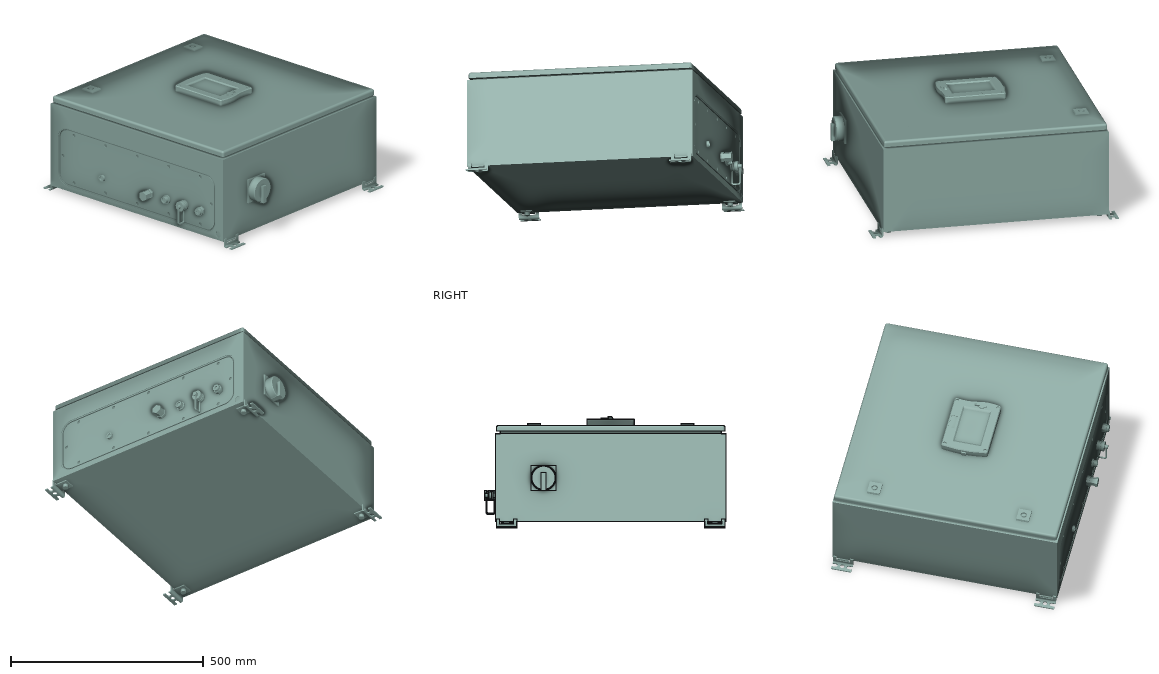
import cadquery as cq

BODY_SIDE = 600.0
BODY_HEIGHT = 229.0
BODY_HALF = BODY_SIDE / 2

RIM_LENGTH_X = 562.0
RIM_LENGTH_Y = 575.5
RIM_HEIGHT = 6.0
DOOR_SIDE = 595.0
DOOR_THICKNESS = 15.0
DOOR_EDGE_RADIUS = 6.0
DOOR_TOP = BODY_HEIGHT + RIM_HEIGHT + DOOR_THICKNESS

LOCK_X = -248.0
LOCK_Y_OFFSET = 199.0
LOCK_LENGTH_X = 38.5
LOCK_LENGTH_Y = 34.0
LOCK_HEIGHT = 4.5
LOCK_SLOPE = 2.0
KEYHOLE_OFFSET_X = -1.0
KEYHOLE_RADIUS = 8.5
KEYHOLE_DEPTH = 3.0
KEY_BIT_RADIUS = 4.5
KEY_BIT_HEIGHT = 2.5

PANEL_HEIGHT = 17.0
PANEL_TOP = DOOR_TOP + PANEL_HEIGHT
PANEL_Y_TOP = 61.5
PANEL_Y_BOTTOM = -62.0
PANEL_X_LEFT = -79.5
PANEL_X_LEFT_BULGE = -85.5
PANEL_X_RIGHT_TOP = 83.5
PANEL_X_RIGHT_BOTTOM = 80.0
PANEL_WAIST = (79.5, 24.5)
PANEL_BEND = (83.0, -1.0)
PANEL_BULGE = (85.5, -20.0)
PANEL_CORNER_RADIUS = 5.0
PANEL_EDGE_CHAMFER = 2.0
PANEL_SCREW_X = 73.0
PANEL_SCREW_YS = (53.5, -55.0)
PANEL_SCREW_RADIUS = 4.5
PANEL_SCREW_DEPTH = 3.0
HINGE_X = -88.5
HINGE_LENGTH_Y = 13.0
HINGE_HEIGHT = 10.5

SCREEN_CENTER = (-1.0, -3.0)
SCREEN_LENGTH_X = 120.5
SCREEN_LENGTH_Y = 75.5
SCREEN_BEVEL_X = 6.0
SCREEN_BEVEL_Y = 3.0
SCREEN_DEPTH = 3.0

LABEL_CENTER = (1.0, 48.0)
LABEL_LENGTH_X = 41.0
LABEL_LENGTH_Y = 16.5
LABEL_DEPTH = 1.0

KNOB_CENTER = (69.0, -13.0)
KNOB_RADIUS = 8.5
KNOB_HEIGHT = 2.5
POINTER_WIDTH = 6.0
POINTER_HEIGHT = 5.0
POINTER_START = 6.5
POINTER_CREST_END = 15.0
POINTER_TIP = 20.5
TAIL_TIP = 12.5

PLATE_LENGTH_X = 548.0
PLATE_HEIGHT = 162.0
PLATE_CENTER_Z = 94.0
PLATE_CORNER_RADIUS = 33.0
PLATE_RECESS = 1.0
SEAM_INSET = 3.0
SEAM_WIDTH = 3.0
SEAM_DEPTH = 3.0
PLATE_SCREW_RADIUS = 4.5
PLATE_SCREW_DEPTH = 2.5
PLATE_SCREW_PITCH = 110.0
PLATE_SCREW_ROW = 66.0
PLATE_SCREW_END_X = 258.0

FITTING_Z = 68.0
SMALL_STUD_X = -120.0
STEPPED_STUD_X = 104.5
COUPLING_X = 165.0
NUT_STUD_X = 225.0
FITTINGS = [
    (SMALL_STUD_X, [(8.5, 0, 5.0)]),
    (STEPPED_STUD_X, [(11.0, 0, 3.0), (8.5, 3.0, 13.0)]),
    (
        COUPLING_X,
        [
            (13.0, 0, 3.0),
            (12.0, 3.0, 6.0),
            (13.0, 6.0, 8.5),
            (12.0, 8.5, 11.0),
            (13.0, 11.0, 18.5),
            (5.0, 18.5, 27.0),
        ],
    ),
    (NUT_STUD_X, [(9.0, 0, 16.5), (11.0, 6.0, 10.0)]),
]
SOCKETS = [(SMALL_STUD_X, 5.0, 5.0), (STEPPED_STUD_X, 6.0, 13.0), (NUT_STUD_X, 4.0, 16.5)]
SOCKET_DEPTH = 3.0
HEX_NUT_FLATS = 20.0
HEX_NUT_REACH = 6.0
BREATHER_X = 45.0
BREATHER_FLATS = 22.5
BREATHER_COLLAR = 6.5
BREATHER_BARREL_FLATS = 19.0
BREATHER_CAP_START = 22.5
BREATHER_REACH = 28.5

LOOP_WIDTH = 3.0
LOOP_REACH = 24.5
LOOP_BOTTOM_Z = 18.5
LOOP_CORNER_RADIUS = 6.5

PLUG_X = 283.0
PLUG_Z = 16.0
PLUG_RADIUS = 8.5
PLUG_RECESS = 1.0

ISOLATOR_Y = -174.5
ISOLATOR_Z = 114.0
ISOLATOR_RADIUS = 32.5
ISOLATOR_REACH = 26.0
ISOLATOR_FLANGE_REACH = 4.5
ISOLATOR_EDGE_CHAMFER = 2.0
HANDLE_WIDTH = 12.5
HANDLE_RISE = 14.0
HANDLE_END_X = 334.0

BRACKET_Y_OFFSET = 270.5
BRACKET_LENGTH = 53.5
BRACKET_REACH = 327.5
BRACKET_THICKNESS = 3.0
BRACKET_BOTTOM = -16.5
BRACKET_TOP = 6.5
BEND_RADIUS = 2.5
WINDOW_LENGTH = 36.0
WINDOW_BOTTOM = -6.0
SLOT_X = 314.0
SLOT_WIDTH = 10.5
SLOT_DEPTH = 14.5
FOOT_HOLE_RADIUS = 6.0
TAB_REACH = 32.0
TAB_WIDTH = 30.5
SCREW_INSET = 19.0
SCREW_RADIUS = 7.0
SCREW_HEAD_BOTTOM = -12.0


def box(x_range, y_range, z_range):
    """Box spanning the given (low, high) ranges."""
    (x0, x1), (y0, y1), (z0, z1) = x_range, y_range, z_range
    return cq.Workplane("XY").box(x1 - x0, y1 - y0, z1 - z0, centered=False).translate((x0, y0, z0))


def front_plane(x, z, depth=0):
    """Sketch plane facing out of the front wall, sunk into it by depth."""
    return cq.Workplane(cq.Plane((x, depth - BODY_HALF, z), (1, 0, 0), (0, -1, 0)))


def make_body():
    body = cq.Workplane("XY").box(BODY_SIDE, BODY_SIDE, BODY_HEIGHT, centered=(True, True, False))
    rim = (
        cq.Workplane("XY").workplane(offset=BODY_HEIGHT)
        .rect(RIM_LENGTH_X, RIM_LENGTH_Y).extrude(RIM_HEIGHT)
    )
    door = (
        cq.Workplane("XY").workplane(offset=BODY_HEIGHT + RIM_HEIGHT)
        .rect(DOOR_SIDE, DOOR_SIDE).extrude(DOOR_THICKNESS)
        .edges("|Z or >Z").fillet(DOOR_EDGE_RADIUS)
    )
    return body.union(rim).union(door)


def make_lock(y):
    lock = (
        cq.Workplane("XY").workplane(offset=DOOR_TOP).center(LOCK_X, y)
        .rect(LOCK_LENGTH_X, LOCK_LENGTH_Y)
        .workplane(offset=LOCK_HEIGHT)
        .rect(LOCK_LENGTH_X - 2 * LOCK_SLOPE, LOCK_LENGTH_Y).loft()
    )
    keyhole = (
        cq.Workplane("XY").workplane(offset=DOOR_TOP + LOCK_HEIGHT - KEYHOLE_DEPTH)
        .center(LOCK_X + KEYHOLE_OFFSET_X, y)
    )
    lock = lock.cut(keyhole.circle(KEYHOLE_RADIUS).extrude(KEYHOLE_DEPTH))
    return lock.union(keyhole.circle(KEY_BIT_RADIUS).extrude(KEY_BIT_HEIGHT))


def make_panel():
    middle_y = (PANEL_Y_TOP + PANEL_Y_BOTTOM) / 2
    panel = (
        cq.Workplane("XY").workplane(offset=DOOR_TOP)
        .moveTo(PANEL_X_LEFT, PANEL_Y_TOP)
        .threePointArc((PANEL_X_LEFT_BULGE, middle_y), (PANEL_X_LEFT, PANEL_Y_BOTTOM))
        .lineTo(PANEL_X_RIGHT_BOTTOM, PANEL_Y_BOTTOM)
        .threePointArc(PANEL_BULGE, PANEL_BEND)
        .threePointArc(PANEL_WAIST, (PANEL_X_RIGHT_TOP, PANEL_Y_TOP))
        .close().extrude(PANEL_HEIGHT)
    )
    corner_points = [
        (PANEL_X_LEFT, PANEL_Y_TOP),
        (PANEL_X_LEFT, PANEL_Y_BOTTOM),
        (PANEL_X_RIGHT_TOP, PANEL_Y_TOP),
        (PANEL_X_RIGHT_BOTTOM, PANEL_Y_BOTTOM),
    ]
    for x, y in corner_points:
        corner = cq.selectors.NearestToPointSelector((x, y, DOOR_TOP + PANEL_HEIGHT / 2))
        panel = panel.edges("|Z").edges(corner).fillet(PANEL_CORNER_RADIUS)
    panel = panel.faces(">Z").edges().chamfer(PANEL_EDGE_CHAMFER)

    screen = (
        cq.Workplane("XY").workplane(offset=PANEL_TOP).center(*SCREEN_CENTER)
        .rect(SCREEN_LENGTH_X, SCREEN_LENGTH_Y)
        .workplane(offset=-SCREEN_DEPTH)
        .rect(SCREEN_LENGTH_X - 2 * SCREEN_BEVEL_X, SCREEN_LENGTH_Y - 2 * SCREEN_BEVEL_Y).loft()
    )
    label = (
        cq.Workplane("XY").workplane(offset=PANEL_TOP - LABEL_DEPTH).center(*LABEL_CENTER)
        .rect(LABEL_LENGTH_X, LABEL_LENGTH_Y).extrude(LABEL_DEPTH)
    )
    screw_points = [(side * PANEL_SCREW_X, y) for side in (-1, 1) for y in PANEL_SCREW_YS]
    screws = (
        cq.Workplane("XY").workplane(offset=PANEL_TOP - PANEL_SCREW_DEPTH)
        .pushPoints(screw_points).circle(PANEL_SCREW_RADIUS).extrude(PANEL_SCREW_DEPTH)
    )
    hinge = box(
        (HINGE_X, PANEL_X_LEFT),
        (middle_y - HINGE_LENGTH_Y / 2, middle_y + HINGE_LENGTH_Y / 2),
        (DOOR_TOP, DOOR_TOP + HINGE_HEIGHT),
    )
    return panel.cut(screen).cut(label).cut(screws).union(hinge)


def make_knob():
    """Round knob with a sloped raised pointer towards +Y and a low tail towards -Y."""
    half_width = POINTER_WIDTH / 2
    knob = cq.Workplane("XY").circle(KNOB_RADIUS).extrude(KNOB_HEIGHT)
    tail = box((-half_width, half_width), (-TAIL_TIP, 0), (0, KNOB_HEIGHT))
    pointer = (
        cq.Workplane("YZ")
        .moveTo(0, 0)
        .lineTo(0, KNOB_HEIGHT)
        .lineTo(POINTER_START, KNOB_HEIGHT)
        .lineTo(POINTER_START, POINTER_HEIGHT)
        .lineTo(POINTER_CREST_END, POINTER_HEIGHT)
        .lineTo(POINTER_TIP, 0)
        .close().extrude(half_width, both=True)
    )
    return knob.union(tail).union(pointer).translate((*KNOB_CENTER, PANEL_TOP))


def plate_prism(inset, sunk_from, sunk_to):
    """Rounded gland plate outline, shrunk by inset, between two depths below the front wall."""
    return (
        front_plane(0, PLATE_CENTER_Z, sunk_to)
        .rect(PLATE_LENGTH_X - 2 * inset, PLATE_HEIGHT - 2 * inset)
        .extrude(sunk_to - sunk_from)
        .edges("|Y").fillet(PLATE_CORNER_RADIUS - inset)
    )


def make_plate_cut():
    """Recess of the gland plate, the seam around it and its screw sockets."""
    recess = plate_prism(0, 0, PLATE_RECESS)
    seam_bottom = PLATE_RECESS + SEAM_DEPTH
    seam = plate_prism(SEAM_INSET, 0, seam_bottom)
    seam = seam.cut(plate_prism(SEAM_INSET + SEAM_WIDTH, 0, seam_bottom))
    points = [(i * PLATE_SCREW_PITCH, row * PLATE_SCREW_ROW) for i in range(-2, 3) for row in (-1, 1)]
    points += [(-PLATE_SCREW_END_X, 0), (PLATE_SCREW_END_X, 0)]
    socket_bottom = PLATE_RECESS + PLATE_SCREW_DEPTH
    sockets = (
        front_plane(0, PLATE_CENTER_Z, socket_bottom)
        .pushPoints(points).circle(PLATE_SCREW_RADIUS).extrude(socket_bottom)
    )
    return recess.union(seam).union(sockets)


def make_hex(x, flats, start, end):
    """Hexagon standing between two distances in front of the wall, flats left and right."""
    return front_plane(x, FITTING_Z, -start).polygon(6, flats, circumscribed=True).extrude(end - start)


def make_fittings():
    fittings = make_hex(NUT_STUD_X, HEX_NUT_FLATS, -PLATE_RECESS, HEX_NUT_REACH)
    for x, steps in FITTINGS:
        seat = front_plane(x, FITTING_Z, PLATE_RECESS).circle(steps[0][0]).extrude(PLATE_RECESS)
        fittings = fittings.union(seat)
        for radius, start, end in steps:
            fittings = fittings.union(front_plane(x, FITTING_Z, -start).circle(radius).extrude(end - start))
    for x, radius, reach in SOCKETS:
        socket = front_plane(x, FITTING_Z, SOCKET_DEPTH - reach).circle(radius).extrude(SOCKET_DEPTH)
        fittings = fittings.cut(socket)
    barrel = make_hex(BREATHER_X, BREATHER_BARREL_FLATS, -PLATE_RECESS, BREATHER_REACH)
    collar = make_hex(BREATHER_X, BREATHER_FLATS, -PLATE_RECESS, BREATHER_COLLAR)
    cap = make_hex(BREATHER_X, BREATHER_FLATS, BREATHER_CAP_START, BREATHER_REACH)
    return fittings.union(barrel).union(collar).union(cap)


def make_loop():
    """Flat U-shaped loop below a fitting, open towards it."""
    half = LOOP_WIDTH / 2
    x_range = (COUPLING_X - half, COUPLING_X + half)
    front = -BODY_HALF - LOOP_REACH
    outer = box(x_range, (front, -BODY_HALF), (LOOP_BOTTOM_Z, FITTING_Z))
    outer = outer.edges("|X and <Z").fillet(LOOP_CORNER_RADIUS)
    inner = box(
        x_range,
        (front + LOOP_WIDTH, -BODY_HALF - LOOP_WIDTH),
        (LOOP_BOTTOM_Z + LOOP_WIDTH, FITTING_Z),
    )
    inner = inner.edges("|X and <Z").fillet(LOOP_CORNER_RADIUS - LOOP_WIDTH)
    return outer.cut(inner)


def make_isolator():
    base = cq.Workplane("YZ").workplane(offset=BODY_HALF).center(ISOLATOR_Y, ISOLATOR_Z)
    drum = base.circle(ISOLATOR_RADIUS).extrude(ISOLATOR_REACH).faces(">X").chamfer(ISOLATOR_EDGE_CHAMFER)
    flange = base.rect(2 * ISOLATOR_RADIUS, 2 * ISOLATOR_RADIUS).extrude(ISOLATOR_FLANGE_REACH)
    handle = box(
        (BODY_HALF, HANDLE_END_X),
        (ISOLATOR_Y - HANDLE_WIDTH / 2, ISOLATOR_Y + HANDLE_WIDTH / 2),
        (ISOLATOR_Z - ISOLATOR_RADIUS, ISOLATOR_Z + HANDLE_RISE),
    )
    return drum.union(flange).union(handle)


def make_bracket():
    """Bracket of the right wall, centred on Y = 0."""
    half = BRACKET_LENGTH / 2
    outer_face = BODY_HALF + BRACKET_THICKNESS
    strip = (
        cq.Workplane("XZ").workplane(offset=-half)
        .moveTo(BODY_HALF, BRACKET_TOP)
        .lineTo(BODY_HALF, BRACKET_BOTTOM)
        .lineTo(BRACKET_REACH, BRACKET_BOTTOM)
        .lineTo(BRACKET_REACH, BRACKET_BOTTOM + BRACKET_THICKNESS)
        .lineTo(outer_face, BRACKET_BOTTOM + BRACKET_THICKNESS)
        .lineTo(outer_face, BRACKET_TOP)
        .close().extrude(BRACKET_LENGTH)
    )
    bend_height = BRACKET_BOTTOM + BRACKET_THICKNESS
    inner_bend = cq.selectors.NearestToPointSelector((outer_face, 0, bend_height))
    strip = strip.edges(inner_bend).fillet(BEND_RADIUS)
    outer_bend = cq.selectors.NearestToPointSelector((BODY_HALF, 0, BRACKET_BOTTOM))
    strip = strip.edges(outer_bend).fillet(BEND_RADIUS + BRACKET_THICKNESS)
    window = box(
        (BODY_HALF, outer_face),
        (-WINDOW_LENGTH / 2, WINDOW_LENGTH / 2),
        (WINDOW_BOTTOM, BRACKET_TOP),
    )
    foot_plane = cq.Workplane("XY").workplane(offset=BRACKET_BOTTOM)
    slots = (
        foot_plane.pushPoints([(SLOT_X, -half), (SLOT_X, half)])
        .slot2D(2 * SLOT_DEPTH, SLOT_WIDTH, 90).extrude(BRACKET_THICKNESS)
    )
    hole = foot_plane.center(SLOT_X, 0).circle(FOOT_HOLE_RADIUS).extrude(BRACKET_THICKNESS)
    tab = box(
        (BODY_HALF - TAB_REACH, outer_face),
        (-TAB_WIDTH / 2, TAB_WIDTH / 2),
        (-BRACKET_THICKNESS, 0),
    )
    screw = (
        cq.Workplane("XY").workplane(offset=SCREW_HEAD_BOTTOM)
        .center(BODY_HALF - SCREW_INSET, 0).circle(SCREW_RADIUS).extrude(-SCREW_HEAD_BOTTOM)
    )
    return strip.cut(window).cut(slots).cut(hole).union(tab).union(screw)


plug_recess = front_plane(PLUG_X, PLUG_Z, PLUG_RECESS).circle(PLUG_RADIUS).extrude(PLUG_RECESS)

result = make_body().cut(make_plate_cut()).cut(plug_recess)
for lock_y in (-LOCK_Y_OFFSET, LOCK_Y_OFFSET):
    result = result.union(make_lock(lock_y))
result = result.union(make_panel()).union(make_knob())
result = result.union(make_fittings()).union(make_loop()).union(make_isolator())

right_bracket = make_bracket()
left_bracket = right_bracket.mirror("YZ")
for bracket_y in (-BRACKET_Y_OFFSET, BRACKET_Y_OFFSET):
    for bracket in (left_bracket, right_bracket):
        result = result.union(bracket.translate((0, bracket_y, 0)))